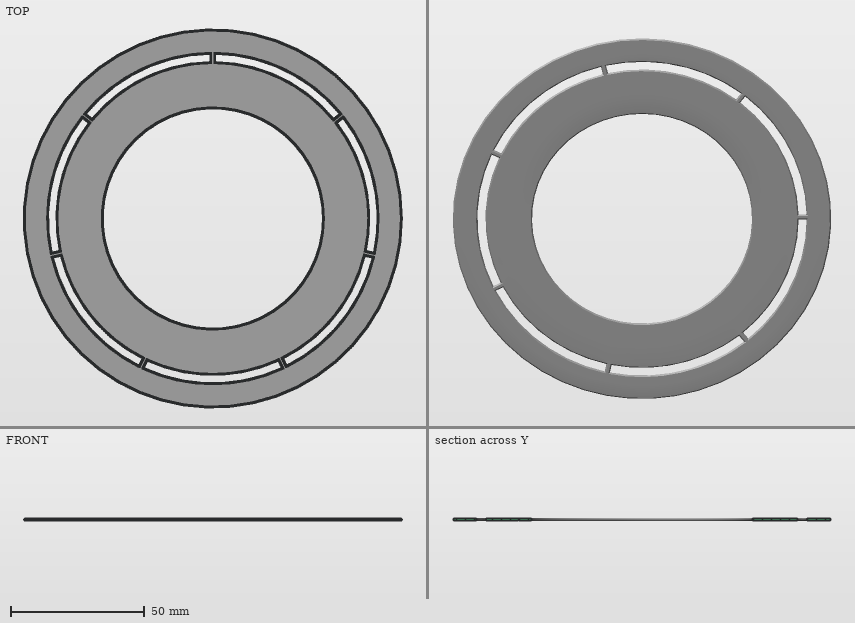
import cadquery as cq

THICKNESS = 1.0
OUTER_RADIUS = 71.0
OUTER_RING_WIDTH = 9.25
GAP_WIDTH = 3.0
INNER_RING_WIDTH = 17.5
SPOKE_COUNT = 7
SPOKE_WIDTH = 2.0

bevel = THICKNESS / 2

gap_outer_radius = OUTER_RADIUS - OUTER_RING_WIDTH
gap_inner_radius = gap_outer_radius - GAP_WIDTH
bore_radius = gap_inner_radius - INNER_RING_WIDTH

spoke_overlap = 1.5 * bevel


def bevelled_section(plane, left, right):
    """Six-sided section between left and right, pointed at mid-height on both sides."""
    points = [
        (left + bevel, 0),
        (right - bevel, 0),
        (right, bevel),
        (right - bevel, THICKNESS),
        (left + bevel, THICKNESS),
        (left, bevel),
    ]
    return plane.polyline(points).close()


def bevelled_ring(inner_radius, outer_radius):
    """Flat ring around the Z axis with bevelled inner and outer edges."""
    section = bevelled_section(cq.Workplane("XZ"), inner_radius, outer_radius)
    return section.revolve(360, (0, 0, 0), (0, 1, 0))


def spoke(angle):
    """Bevelled radial bar bridging the gap, turned by angle degrees from the +Y axis."""
    start_radius = gap_inner_radius - spoke_overlap
    length = GAP_WIDTH + 2 * spoke_overlap
    plane = cq.Workplane("XZ", origin=(0, start_radius, 0))
    bar = bevelled_section(plane, -SPOKE_WIDTH / 2, SPOKE_WIDTH / 2).extrude(-length)
    return bar.rotate((0, 0, 0), (0, 0, 1), angle)


outer_ring = bevelled_ring(gap_outer_radius, OUTER_RADIUS)
inner_ring = bevelled_ring(bore_radius, gap_inner_radius)

result = outer_ring.union(inner_ring)
for index in range(SPOKE_COUNT):
    result = result.union(spoke(index * 360 / SPOKE_COUNT))